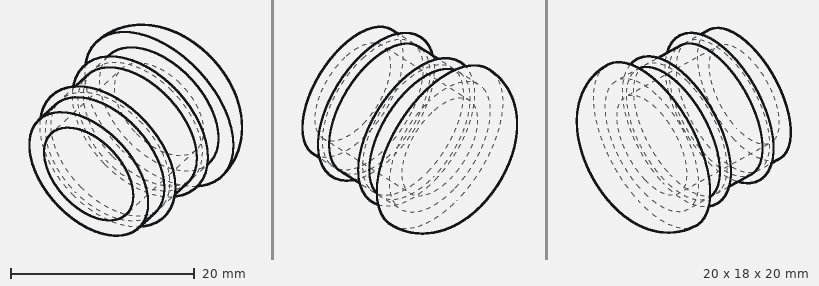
import cadquery as cq

head_radius = 10.0
head_height = 5.0
dome_radius = head_height
stem_radius = 8.0
stem_length = 13.0
bore_radius = 6.0
bore_depth = stem_length
ring_width = 1.0
ring_radius = 9.0
first_ring_offset = 3.5
ring_pitch = 6.0
ring_count = 2


def cylinder_along_y(radius, y_start, length):
    """Solid cylinder on the Y axis, running from y_start toward +Y."""
    return cq.Workplane("XZ", origin=(0, y_start, 0)).circle(radius).extrude(-length)


def domed_head():
    """Flat-topped head whose outer edge is a quarter-round."""
    flat_radius = head_radius - dome_radius
    arc_mid_offset = dome_radius * 0.5**0.5
    return (
        cq.Workplane("XY")
        .lineTo(head_radius, 0)
        .threePointArc(
            (flat_radius + arc_mid_offset, arc_mid_offset),
            (flat_radius, head_height),
        )
        .lineTo(0, head_height)
        .close()
        .revolve(360, (0, 0, 0), (0, 1, 0))
    )


def sealing_ring(y_middle):
    """Flat-sided ring around the stem with a half-round rim."""
    rim_radius = ring_width / 2
    rim_center = ring_radius - rim_radius
    y_low = y_middle - rim_radius
    y_high = y_middle + rim_radius
    return (
        cq.Workplane("XY")
        .moveTo(bore_radius, y_low)
        .lineTo(rim_center, y_low)
        .threePointArc((ring_radius, y_middle), (rim_center, y_high))
        .lineTo(bore_radius, y_high)
        .close()
        .revolve(360, (0, 0, 0), (0, 1, 0))
    )


plug = domed_head().union(cylinder_along_y(stem_radius, -stem_length, stem_length))
for index in range(ring_count):
    plug = plug.union(sealing_ring(-first_ring_offset - index * ring_pitch))

result = plug.cut(cylinder_along_y(bore_radius, -stem_length, bore_depth))